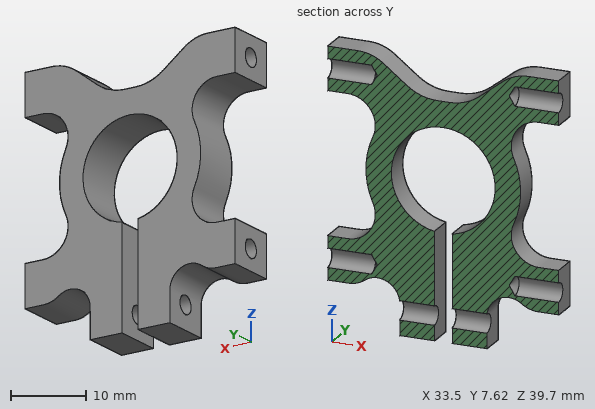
import cadquery as cq
import math

thickness = 7.62
half_width = 33.55 / 2
top_z = 16.67
bottom_z = top_z - 39.7

bore_radius = 7.5
ring_radius = 11.27
slot_width = 2.55

arm_height = 6.4
arm_inner_z = top_z - arm_height
arm_fillet = 3.97

saddle_depth = 5.4
saddle_top_x = 10.32
saddle_floor_x = 3.35
saddle_top_fillet = 6.15
saddle_floor_fillet = 7.15

leg_half_width = 6.35
leg_fillet = 3.18
leg_fillet_rise = 1.4
arm_underside_fillet = 3.97

hole_diameter = 2.7
arm_hole_depth = 6.35
drill_tip_angle = 118.0
clamp_hole_height = 3.6


def between(start, end, fraction):
    """Point at the given fraction of the way from start to end."""
    return tuple(a + (b - a) * fraction for a, b in zip(start, end))


def on_circle(center, radius, degrees):
    """Point on a circle, measured counterclockwise from +X."""
    angle = math.radians(degrees)
    return (center[0] + radius * math.cos(angle), center[1] + radius * math.sin(angle))


def direction(start, end):
    """Angle in degrees of the line from start to end."""
    return math.degrees(math.atan2(end[1] - start[1], end[0] - start[0]))


def right_half_plate():
    """Right half of the plate, outlined clockwise from the middle of the saddle."""
    slope = math.degrees(math.atan2(saddle_depth, saddle_top_x - saddle_floor_x))
    half_slope_tangent = math.tan(math.radians(slope / 2))
    floor_z = top_z - saddle_depth
    floor_center = (
        saddle_floor_x - saddle_floor_fillet * half_slope_tangent,
        floor_z + saddle_floor_fillet,
    )
    crest_center = (
        saddle_top_x + saddle_top_fillet * half_slope_tangent,
        top_z - saddle_top_fillet,
    )

    waist_z = arm_inner_z - arm_fillet
    waist_x = math.sqrt((ring_radius + arm_fillet) ** 2 - waist_z**2)
    upper_waist = (waist_x, waist_z)
    lower_waist = (waist_x, -waist_z)
    ring_share = ring_radius / (ring_radius + arm_fillet)
    upper_touch = direction(upper_waist, (0, 0)) % 360

    leg_center = (leg_half_width + leg_fillet, -top_z + leg_fillet_rise - leg_fillet)
    underside_z = -top_z + arm_underside_fillet
    center_distance = leg_fillet + arm_underside_fillet
    center_rise = underside_z - leg_center[1]
    underside_center = (
        leg_center[0] + math.sqrt(center_distance**2 - center_rise**2),
        underside_z,
    )
    leg_touch = direction(leg_center, underside_center)
    underside_touch = leg_touch + 180

    outline = (
        cq.Workplane("XZ", origin=(0, thickness / 2, 0))
        .moveTo(0, floor_z)
        .lineTo(floor_center[0], floor_z)
        .threePointArc(
            on_circle(floor_center, saddle_floor_fillet, -90 + slope / 2),
            on_circle(floor_center, saddle_floor_fillet, -90 + slope),
        )
        .lineTo(*on_circle(crest_center, saddle_top_fillet, 90 + slope))
        .threePointArc(
            on_circle(crest_center, saddle_top_fillet, 90 + slope / 2),
            (crest_center[0], top_z),
        )
        .lineTo(half_width, top_z)
        .lineTo(half_width, arm_inner_z)
        .lineTo(waist_x, arm_inner_z)
        .threePointArc(
            on_circle(upper_waist, arm_fillet, (90 + upper_touch) / 2),
            between((0, 0), upper_waist, ring_share),
        )
        .threePointArc((ring_radius, 0), between((0, 0), lower_waist, ring_share))
        .threePointArc(
            on_circle(lower_waist, arm_fillet, -(90 + upper_touch) / 2),
            (waist_x, -arm_inner_z),
        )
        .lineTo(half_width, -arm_inner_z)
        .lineTo(half_width, -top_z)
        .lineTo(underside_center[0], -top_z)
        .threePointArc(
            on_circle(underside_center, arm_underside_fillet, (270 + underside_touch) / 2),
            on_circle(leg_center, leg_fillet, leg_touch),
        )
        .threePointArc(
            on_circle(leg_center, leg_fillet, (180 + leg_touch) / 2),
            (leg_half_width, leg_center[1]),
        )
        .lineTo(leg_half_width, bottom_z)
        .lineTo(0, bottom_z)
        .close()
    )
    return outline.extrude(thickness)


def arm_hole(height):
    """Blind hole with a conical drill tip, entering from the +X end of an arm."""
    radius = hole_diameter / 2
    tip_length = radius / math.tan(math.radians(drill_tip_angle / 2))
    floor_x = half_width - arm_hole_depth
    return (
        cq.Workplane("XZ", origin=(0, 0, height))
        .polyline([
            (half_width, 0),
            (half_width, radius),
            (floor_x, radius),
            (floor_x - tip_length, 0),
        ])
        .close()
        .revolve(360, (0, 0), (1, 0))
    )


right_half = right_half_plate()
result = right_half.union(right_half.mirror("YZ"))

bore = cq.Workplane("XZ").circle(bore_radius).extrude(thickness / 2, both=True)
split = cq.Workplane("XY").box(
    slot_width, thickness, -bottom_z, centered=(True, True, False)
).translate((0, 0, bottom_z))
result = result.cut(bore).cut(split)

arm_middle_z = top_z - arm_height / 2
for height in (arm_middle_z, -arm_middle_z):
    hole = arm_hole(height)
    result = result.cut(hole).cut(hole.mirror("YZ"))

clamp_hole = (
    cq.Workplane("YZ", origin=(0, 0, bottom_z + clamp_hole_height))
    .circle(hole_diameter / 2)
    .extrude(leg_half_width + leg_fillet, both=True)
)
result = result.cut(clamp_hole)